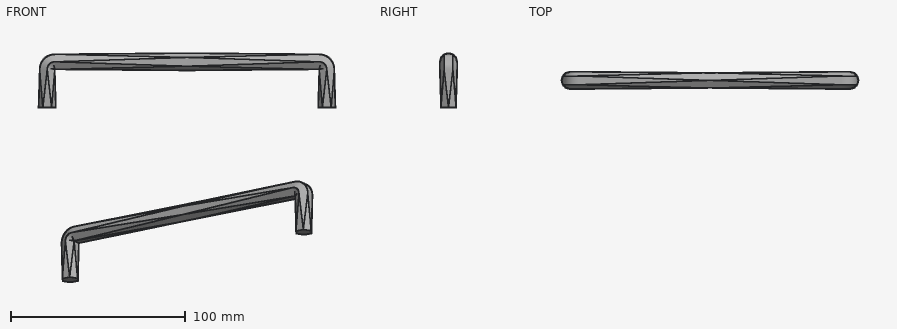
import cadquery as cq
import math

overall_length = 170.0
across_corners = 10.0
leg_straight_height = 22.0

SIDES = 6
corner_radius = across_corners / 2
flat_distance = corner_radius * math.cos(math.pi / SIDES)
bend_radius = flat_distance
leg_center_x = overall_length / 2 - corner_radius
bend_start_x = leg_center_x - bend_radius
bar_center_z = leg_straight_height + bend_radius

STEP = 2 * math.pi / SIDES
CORNER_AHEAD = 0.0
FLAT_AHEAD = STEP / 2


def hexagon(center, first_axis, second_axis, turn):
    """Hexagon corners, turned from the first axis toward the second."""
    corners = []
    for i in range(SIDES):
        angle = turn + i * STEP
        along_first = first_axis * (corner_radius * math.cos(angle))
        along_second = second_axis * (corner_radius * math.sin(angle))
        corners.append(center + along_first + along_second)
    return corners


def flat_face(corners):
    return cq.Face.makeFromWires(cq.Wire.makePolygon(corners, close=True))


def twisted_length(start, end):
    """Join two hexagons, the second half a side ahead, with a band of triangles."""
    faces = [flat_face(start), flat_face(end)]
    for i in range(SIDES):
        following = (i + 1) % SIDES
        faces.append(flat_face([start[i], start[following], end[i]]))
        faces.append(flat_face([start[following], end[following], end[i]]))
    return cq.Workplane(cq.Solid.makeSolid(cq.Shell.makeShell(faces)))


x_axis = cq.Vector(1, 0, 0)
y_axis = cq.Vector(0, 1, 0)
z_axis = cq.Vector(0, 0, 1)

foot = hexagon(cq.Vector(leg_center_x, 0, 0), x_axis, y_axis, CORNER_AHEAD)
leg_top = hexagon(cq.Vector(leg_center_x, 0, leg_straight_height), x_axis, y_axis, FLAT_AHEAD)
leg = twisted_length(foot, leg_top)

bar_middle = hexagon(cq.Vector(0, 0, bar_center_z), z_axis, y_axis, CORNER_AHEAD)
bar_end = hexagon(cq.Vector(bend_start_x, 0, bar_center_z), z_axis, y_axis, FLAT_AHEAD)
bar_half = twisted_length(bar_middle, bar_end)

bend = cq.Workplane(
    cq.Solid.revolve(
        flat_face(leg_top),
        90,
        cq.Vector(bend_start_x, 1.7, leg_straight_height),
        cq.Vector(bend_start_x, 0, leg_straight_height),
    )
)

half_handle = leg.union(bend).union(bar_half)
result = half_handle.union(half_handle.mirror("YZ"))